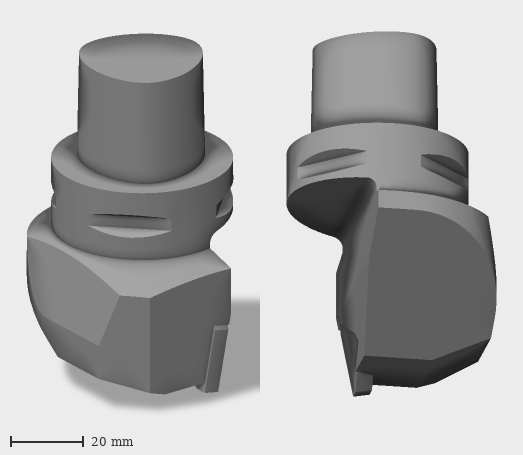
import cadquery as cq
import math


SHANK_HEIGHT = 29.9
SHANK_BASE_RADIUS = 17.6
SHANK_TOP_RADIUS = 17.0
LOBE_RISE = 1.0
POINTS_PER_LOBE = 12

FLANGE_RADIUS = 50.0 / 2
FLANGE_HEIGHT = 20.0
NOTCH_FLOOR_RADIUS = 22.2
NOTCH_FLOOR_HEIGHT = 3.5
NOTCH_FLARE_ANGLE = 30.0
NOTCH_CENTER_Z = -FLANGE_HEIGHT / 2
NOTCH_CUT_RADIUS = FLANGE_RADIUS + 1.8
NOTCH_CUT_WIDTH = 2 * FLANGE_RADIUS

HEAD_RADIUS = 27.2
HEAD_RIGHT_X = 34.3
HEAD_FACE_Y = 5.0
HEAD_BACK_Y = -32.7
CORNER_CHAMFER = 10.0

HEAD_BOTTOM_Z = -54.5
HEAD_TOP_SLOPE = 0.27
CONE_RADIUS = 52.8
BEVEL_LEFT_Z = -25.8
BEVEL_END_X = 12.2
BACK_SLANT_Z = -39.6
BACK_SLANT_ANGLE = 15.0
BACK_CHAMFER_Z = -49.5
BACK_CHAMFER_END_Y = -17.5

RELIEF_EDGE_Z = -14.4
RELIEF_ANGLE = 5.0
RELIEF_FILLET = 3.0

RAKE_START_Z = -35.55
RAKE_ANGLE = 11.0
INSERT_TIP_X = 34.9
INSERT_TIP_Z = SHANK_HEIGHT - 88.0
INSERT_LONG_SIDE = 18.2
INSERT_SHORT_SIDE = 3.6
INSERT_THICKNESS = 4.7
INSERT_RECESS = 0.5


def tan(angle):
    return math.tan(math.radians(angle))


def lobed_wire(mean_radius, z):
    """Closed three-lobed curve, the envelope of tangents at mean_radius + LOBE_RISE * cos(3a)."""
    points = []
    count = 3 * POINTS_PER_LOBE
    for i in range(count):
        a = 2 * math.pi * i / count
        distance = mean_radius + LOBE_RISE * math.cos(3 * a)
        rate = -3 * LOBE_RISE * math.sin(3 * a)
        toward_lobe = distance * math.cos(a) - rate * math.sin(a)
        sideways = distance * math.sin(a) + rate * math.cos(a)
        points.append(cq.Vector(-sideways, toward_lobe, z))
    return cq.Wire.assembleEdges([cq.Edge.makeSpline(points, periodic=True)])


def make_shank():
    base = lobed_wire(SHANK_BASE_RADIUS, 0)
    top = lobed_wire(SHANK_TOP_RADIUS, SHANK_HEIGHT)
    return cq.Workplane(obj=cq.Solid.makeLoft([base, top], True))


def make_notch(angle):
    """Flat-floored notch with flared upper and lower walls, facing the given direction."""
    half_floor = NOTCH_FLOOR_HEIGHT / 2
    half_mouth = half_floor + (NOTCH_CUT_RADIUS - NOTCH_FLOOR_RADIUS) * tan(NOTCH_FLARE_ANGLE)
    return (
        cq.Workplane("XZ")
        .polyline([
            (NOTCH_FLOOR_RADIUS, NOTCH_CENTER_Z - half_floor),
            (NOTCH_CUT_RADIUS, NOTCH_CENTER_Z - half_mouth),
            (NOTCH_CUT_RADIUS, NOTCH_CENTER_Z + half_mouth),
            (NOTCH_FLOOR_RADIUS, NOTCH_CENTER_Z + half_floor),
        ])
        .close()
        .extrude(NOTCH_CUT_WIDTH / 2, both=True)
        .rotate((0, 0, 0), (0, 0, 1), angle)
    )


def make_relief():
    """Space below the +Y half of the flange, with a filleted inner corner."""
    inner_z = RELIEF_EDGE_Z - (FLANGE_RADIUS - HEAD_FACE_Y) * tan(RELIEF_ANGLE)
    return (
        cq.Workplane("YZ")
        .polyline([
            (HEAD_FACE_Y, HEAD_BOTTOM_Z),
            (FLANGE_RADIUS, HEAD_BOTTOM_Z),
            (FLANGE_RADIUS, RELIEF_EDGE_Z),
            (HEAD_FACE_Y, inner_z),
        ])
        .close()
        .extrude(FLANGE_RADIUS, both=True)
        .edges("|X").edges("<Y").edges(">Z")
        .fillet(RELIEF_FILLET)
    )


def make_flange():
    flange = cq.Workplane("XY").circle(FLANGE_RADIUS).extrude(-FLANGE_HEIGHT)
    for angle in (45, 135, 225, 315):
        flange = flange.cut(make_notch(angle))
    return flange.cut(make_relief())


def make_head_plan():
    arc_center_y = HEAD_BACK_Y + HEAD_RADIUS
    arc_offset = HEAD_RADIUS * math.sqrt(0.5)
    return (
        cq.Workplane("XY")
        .moveTo(-HEAD_RADIUS, HEAD_FACE_Y)
        .lineTo(-HEAD_RADIUS, arc_center_y)
        .threePointArc((-arc_offset, arc_center_y - arc_offset), (0, HEAD_BACK_Y))
        .lineTo(HEAD_RIGHT_X - CORNER_CHAMFER, HEAD_BACK_Y)
        .lineTo(HEAD_RIGHT_X, HEAD_BACK_Y + CORNER_CHAMFER)
        .lineTo(HEAD_RIGHT_X, HEAD_FACE_Y)
        .close()
        .extrude(HEAD_BOTTOM_Z)
    )


def make_head_side():
    """Side outline: upper slant and lower chamfer toward -Y, rake face toward +Y."""
    slant_top_y = HEAD_BACK_Y - BACK_SLANT_Z * tan(BACK_SLANT_ANGLE)
    rake_end_y = HEAD_FACE_Y - (RAKE_START_Z - HEAD_BOTTOM_Z) * tan(RAKE_ANGLE)
    return (
        cq.Workplane("YZ")
        .polyline([
            (slant_top_y, 0),
            (HEAD_BACK_Y, BACK_SLANT_Z),
            (HEAD_BACK_Y, BACK_CHAMFER_Z),
            (BACK_CHAMFER_END_Y, HEAD_BOTTOM_Z),
            (rake_end_y, HEAD_BOTTOM_Z),
            (HEAD_FACE_Y, RAKE_START_Z),
            (HEAD_FACE_Y, 0),
        ])
        .close()
        .extrude(HEAD_RIGHT_X, both=True)
    )


def make_head_front():
    """Front outline with the long bevel below the -X end."""
    return (
        cq.Workplane("XZ")
        .polyline([
            (-HEAD_RADIUS, 0),
            (-HEAD_RADIUS, BEVEL_LEFT_Z),
            (BEVEL_END_X, HEAD_BOTTOM_Z),
            (HEAD_RIGHT_X, HEAD_BOTTOM_Z),
            (HEAD_RIGHT_X, 0),
        ])
        .close()
        .extrude(-HEAD_BACK_Y, both=True)
    )


def make_head_cone():
    """Solid of revolution that gives the head its conical top around the flange."""
    rim_z = -FLANGE_HEIGHT - (CONE_RADIUS - FLANGE_RADIUS) * HEAD_TOP_SLOPE
    return (
        cq.Workplane("XZ")
        .polyline([
            (0, HEAD_BOTTOM_Z),
            (CONE_RADIUS, HEAD_BOTTOM_Z),
            (CONE_RADIUS, rim_z),
            (FLANGE_RADIUS, -FLANGE_HEIGHT),
            (0, -FLANGE_HEIGHT),
        ])
        .close()
        .revolve(360, (0, 0, 0), (0, 1, 0))
    )


def make_head():
    head = make_head_plan()
    for outline in (make_head_side(), make_head_front(), make_head_cone()):
        head = head.intersect(outline)
    return head


def make_insert_outline():
    """Triangle with short facets at its corners, drawn parallel to the rake face."""
    cos_rake = math.cos(math.radians(RAKE_ANGLE))
    insert_plane = cq.Plane(
        origin=(0, HEAD_FACE_Y - INSERT_RECESS / cos_rake, RAKE_START_Z),
        xDir=(1, 0, 0),
        normal=(0, -1, tan(RAKE_ANGLE)),
    )
    tip_v = (INSERT_TIP_Z - RAKE_START_Z) / cos_rake
    outline = cq.Workplane(insert_plane).moveTo(INSERT_TIP_X - INSERT_SHORT_SIDE, tip_v)
    for turn in (0, 120, 240):
        outline = outline.polarLine(INSERT_SHORT_SIDE, turn)
        outline = outline.polarLine(INSERT_LONG_SIDE, turn + 90)
    return outline.close()


def make_insert():
    return make_insert_outline().extrude(INSERT_THICKNESS)


def make_insert_pocket():
    """Seat of the insert, open through the rake face."""
    return make_insert().union(make_insert_outline().extrude(-INSERT_RECESS))


insert = make_insert()
holder = make_flange().union(make_shank()).union(make_head()).cut(make_insert_pocket())

result = cq.Compound.makeCompound([holder.val(), insert.val()])